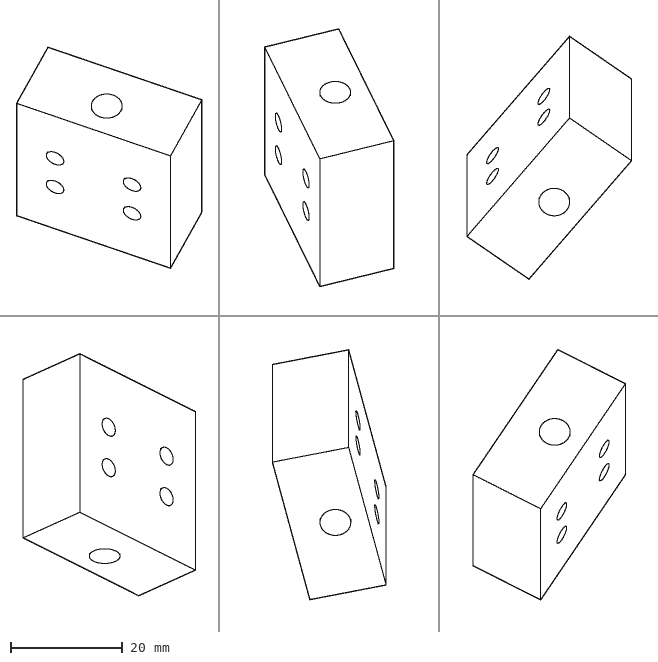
import cadquery as cq

width = 30.0
depth = 14.0
height = 32.2

mount_hole_diameter = 3.4
mount_spacing_x = width / 2
mount_spacing_z = 8.2

bore_diameter = 5.5
bore_offset_y = -1.13

block = cq.Workplane("XY").box(width, depth, height)

mount_holes = (
    cq.Workplane("XZ")
    .rarray(mount_spacing_x, mount_spacing_z, 2, 2)
    .circle(mount_hole_diameter / 2)
    .extrude(depth / 2, both=True)
)

vertical_bore = (
    cq.Workplane("XY")
    .center(0, bore_offset_y)
    .circle(bore_diameter / 2)
    .extrude(height / 2, both=True)
)

result = block.cut(mount_holes).cut(vertical_bore)